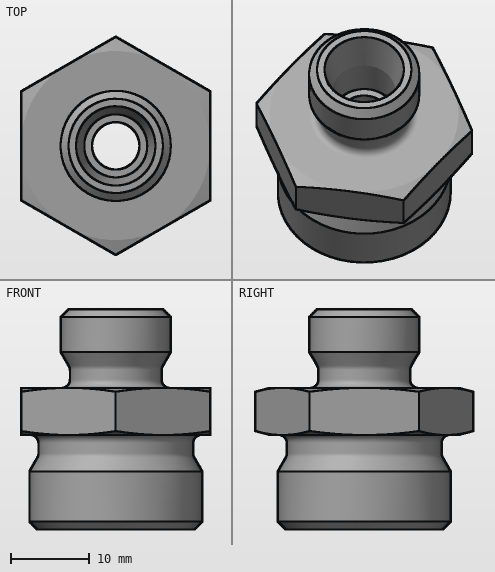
import cadquery as cq
import math

total_height = 28.0
hex_bottom = 12.0
hex_height = 6.0
hex_top = hex_bottom + hex_height

across_flats = 24.02
across_corners = across_flats / math.cos(math.radians(30))
hex_chamfer_angle = 15.0

lower_radius = 22.0 / 2
lower_neck_radius = 19.7 / 2
lower_thread_length = 7.4
upper_radius = 14.0 / 2
upper_neck_radius = 11.7 / 2
upper_thread_length = 5.45
end_chamfer = 1.0
neck_fillet = 1.0
taper_angle = 30.0

through_diameter = 6.0
socket_diameter = 8.0
socket_depth = 10.0
seat_mouth_diameter = 10.08
seat_half_angle = 12.0


def threaded_end(radius, neck_radius, thread_length, length):
    """Stub with its free end at Z = 0 and its neck flaring into the hexagon at Z = length."""
    taper_length = (radius - neck_radius) / math.tan(math.radians(taper_angle))
    taper_end = thread_length + taper_length
    half_turn = math.radians(taper_angle / 2)
    tangent_length = neck_fillet * math.tan(half_turn)
    sin_taper = math.sin(math.radians(taper_angle))
    cos_taper = math.cos(math.radians(taper_angle))
    blend_center = neck_radius + neck_fillet
    blend_end = taper_end + tangent_length
    flare_center_z = length - neck_fillet
    diagonal = neck_fillet * math.sqrt(0.5)
    return (
        cq.Workplane("XZ")
        .lineTo(radius - end_chamfer, 0)
        .lineTo(radius, end_chamfer)
        .lineTo(radius, thread_length)
        .lineTo(neck_radius + tangent_length * sin_taper, taper_end - tangent_length * cos_taper)
        .threePointArc(
            (blend_center - neck_fillet * math.cos(half_turn), blend_end - neck_fillet * math.sin(half_turn)),
            (neck_radius, blend_end),
        )
        .lineTo(neck_radius, flare_center_z)
        .threePointArc(
            (blend_center - diagonal, flare_center_z + diagonal),
            (blend_center, length),
        )
        .lineTo(0, length)
        .close()
        .revolve(360, (0, 0, 0), (0, 1, 0))
    )


def chamfered_hexagon():
    """Hexagon whose corners are turned off by shallow cones on both faces."""
    prism = (
        cq.Workplane("XY")
        .workplane(offset=hex_bottom)
        .polygon(6, across_corners)
        .extrude(hex_height)
        .rotate((0, 0, 0), (0, 0, 1), 90)
    )
    face_radius = across_flats / 2
    rim_radius = across_corners / 2 + 0.28
    drop = (rim_radius - face_radius) * math.tan(math.radians(hex_chamfer_angle))
    turned_envelope = (
        cq.Workplane("XZ")
        .moveTo(0, hex_bottom)
        .lineTo(face_radius, hex_bottom)
        .lineTo(rim_radius, hex_bottom + drop)
        .lineTo(rim_radius, hex_top - drop)
        .lineTo(face_radius, hex_top)
        .lineTo(0, hex_top)
        .close()
        .revolve(360, (0, 0, 0), (0, 1, 0))
    )
    return prism.intersect(turned_envelope)


def bore():
    """Through hole opening into a tube socket with a conical seat at the top."""
    through_radius = through_diameter / 2
    socket_radius = socket_diameter / 2
    mouth_radius = seat_mouth_diameter / 2
    seat_depth = (mouth_radius - socket_radius) / math.tan(math.radians(seat_half_angle))
    socket_floor = total_height - socket_depth
    return (
        cq.Workplane("XZ")
        .lineTo(through_radius, 0)
        .lineTo(through_radius, socket_floor)
        .lineTo(socket_radius, socket_floor)
        .lineTo(socket_radius, total_height - seat_depth)
        .lineTo(mouth_radius, total_height)
        .lineTo(0, total_height)
        .close()
        .revolve(360, (0, 0, 0), (0, 1, 0))
    )


lower_end = threaded_end(lower_radius, lower_neck_radius, lower_thread_length, hex_bottom)
upper_end = (
    threaded_end(upper_radius, upper_neck_radius, upper_thread_length, total_height - hex_top)
    .rotate((0, 0, 0), (1, 0, 0), 180)
    .translate((0, 0, total_height))
)

result = chamfered_hexagon().union(lower_end).union(upper_end).cut(bore())